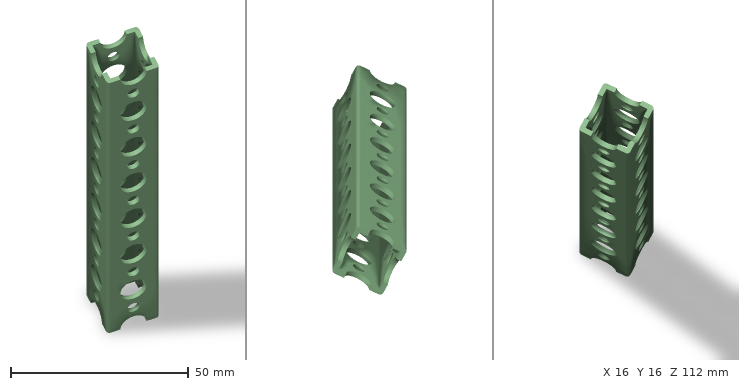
import cadquery as cq

width = 16.0
wall = 1.5
corner_radius = 1.0

pitch = 16.0
pitch_count = 7
large_diameter = 8.0
small_diameter = 3.7
length = pitch * pitch_count

large_heights = [i * pitch - length / 2 for i in range(pitch_count + 1)]
small_heights = [(i + 0.5) * pitch - length / 2 for i in range(pitch_count)]


def square_tube():
    """Tube along Z, centred on the origin, with rounded outer corners and sharp inner ones."""
    outer = cq.Workplane("XY").box(width, width, length).edges("|Z").fillet(corner_radius)
    bore_width = width - 2 * wall
    bore = cq.Workplane("XY").box(bore_width, bore_width, length)
    return outer.cut(bore)


def cross_drills(plane, diameter, heights):
    """Cylinders normal to the plane, passing through both opposite walls at the given heights."""
    centres = [(0, height) for height in heights]
    return cq.Workplane(plane).pushPoints(centres).circle(diameter / 2).extrude(width / 2, both=True)


result = square_tube()
for plane in ("XZ", "YZ"):
    result = result.cut(cross_drills(plane, large_diameter, large_heights))
    result = result.cut(cross_drills(plane, small_diameter, small_heights))